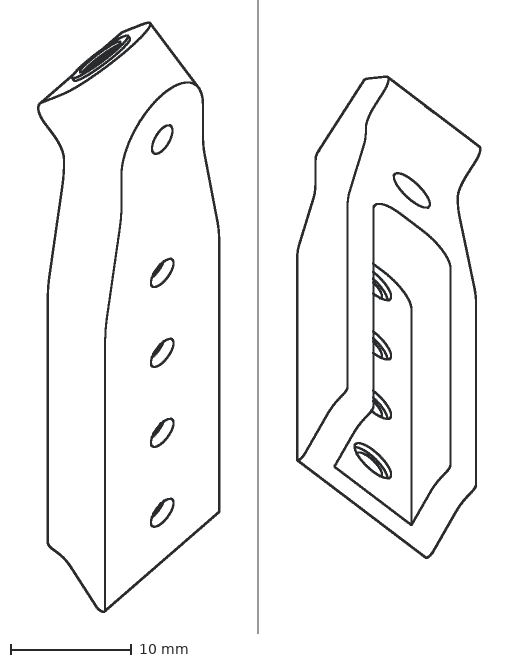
import cadquery as cq
import math

height = 67.5
body_thickness = 6.5
body_width = 14.0
head_width = 10.0
head_radius = head_width / 2

head_tilt = 36.0
apex_x = -3.85
head_face_length = 10.6
nose_radius = 1.75
neck_radius = 3.0

taper_bottom_z = 39.15
taper_top_z = 52.8
taper_blend_radius = 20.0

foot_step_z = 3.65
foot_tip_radius = 0.6
foot_hollow_radius = 2.0
foot_corner_radius = 0.5

pocket_width = 8.4
pocket_depth = 5.0
pocket_top_z = 43.65
pocket_corner_radius = 3.0
screw_count = 4
screw_pitch = 11.0
top_screw_z = 40.15
screw_diameter = 2.8
screw_recess_diameter = 4.0
screw_recess_depth = 0.5

blind_hole_z = 49.6
blind_hole_diameter = 3.9
blind_hole_depth = 5.0

ring_diameter = 5.8
ring_height = 0.3
ring_recess_diameter = 4.2
head_hole_diameter = 2.5

tilt = math.radians(head_tilt)
face_down = (-math.sin(tilt), -math.cos(tilt))
axis_in = (math.cos(tilt), -math.sin(tilt))


def along_head(down, inward):
    """XZ point measured from the head apex, down its face and into the part."""
    x = apex_x + down * face_down[0] + inward * axis_in[0]
    z = height + down * face_down[1] + inward * axis_in[1]
    return x, z


def front_plane(z):
    """Plane on the front body face, with its normal pointing into the body."""
    return cq.Plane(origin=(-body_thickness, 0, z), xDir=(0, 1, 0), normal=(1, 0, 0))


def round_edge(solid, x, y, z, radius):
    """Fillet the edge whose midpoint is at the given point."""
    return solid.edges(cq.selectors.NearestToPointSelector((x, y, z))).fillet(radius)


def make_side_profile():
    nose = along_head(head_face_length, 0)
    neck_inward = (-body_thickness - nose[0]) / axis_in[0]
    neck = along_head(head_face_length, neck_inward)
    top_back = along_head(0, -apex_x / axis_in[0])
    sharp_tip_z = -foot_tip_radius * math.sqrt(2)
    hollow_x = sharp_tip_z - foot_step_z
    corners = [
        (apex_x, height), top_back, (0, sharp_tip_z), (hollow_x, foot_step_z),
        (-body_thickness, foot_step_z), neck, nose,
    ]
    solid = cq.Workplane("XZ").polyline(corners).close().extrude(body_width / 2, both=True)
    solid = round_edge(solid, nose[0], 0, nose[1], nose_radius)
    solid = round_edge(solid, neck[0], 0, neck[1], neck_radius)
    solid = round_edge(solid, 0, 0, sharp_tip_z, foot_tip_radius)
    solid = round_edge(solid, hollow_x, 0, foot_step_z, foot_hollow_radius)
    return round_edge(solid, -body_thickness, 0, foot_step_z, foot_corner_radius)


def make_width_profile():
    """Outline seen along X: wide body, blended taper and narrow head."""
    half_body = body_width / 2
    half_head = head_width / 2
    margin = body_thickness
    outline = [
        (-half_body, -margin), (half_body, -margin), (half_body, taper_bottom_z),
        (half_head, taper_top_z), (half_head, height + margin),
        (-half_head, height + margin), (-half_head, taper_top_z), (-half_body, taper_bottom_z),
    ]
    solid = cq.Workplane("YZ").polyline(outline).close().extrude(2 * body_thickness, both=True)
    for side in (-1, 1):
        for y, z in ((half_body, taper_bottom_z), (half_head, taper_top_z)):
            solid = round_edge(solid, 0, side * y, z, taper_blend_radius)
    return solid


def head_plane():
    """Plane at the centre of the head face, with its normal pointing outward."""
    x, z = along_head(head_radius, 0)
    return cq.Plane(origin=(x, 0, z), xDir=(0, -1, 0), normal=(-axis_in[0], 0, -axis_in[1]))


def make_head_rounding():
    """Material outside the half cylinder at the top of the head."""
    depth = 2 * body_thickness
    upper = cq.Workplane(head_plane()).center(0, head_radius).rect(body_width, head_width)
    upper = upper.extrude(depth, both=True)
    cylinder = cq.Workplane(head_plane()).circle(head_radius).extrude(depth, both=True)
    return upper.cut(cylinder)


def make_pocket():
    pocket = cq.Workplane(front_plane(0)).moveTo(0, pocket_top_z / 2)
    pocket = pocket.rect(pocket_width, pocket_top_z).extrude(pocket_depth)
    return pocket.edges("|X and >Z").fillet(pocket_corner_radius)


def make_screw_holes():
    holes = cq.Workplane()
    for index in range(screw_count):
        plane = front_plane(top_screw_z - index * screw_pitch)
        through = cq.Workplane(plane).circle(screw_diameter / 2).extrude(body_thickness)
        recess = cq.Workplane(plane).circle(screw_recess_diameter / 2)
        recess = recess.extrude(pocket_depth + screw_recess_depth)
        holes = holes.add(through).add(recess)
    return holes.combine()


def make_blind_hole():
    return cq.Workplane(front_plane(blind_hole_z)).circle(blind_hole_diameter / 2).extrude(blind_hole_depth)


def make_head_ring():
    ring = cq.Workplane(head_plane()).circle(ring_diameter / 2).circle(ring_recess_diameter / 2)
    return ring.extrude(ring_height)


def make_head_hole():
    return cq.Workplane(head_plane()).circle(head_hole_diameter / 2).extrude(-2 * body_thickness)


result = make_side_profile().intersect(make_width_profile())
result = result.cut(make_head_rounding())
result = result.cut(make_pocket())
result = result.cut(make_screw_holes())
result = result.cut(make_blind_hole())
result = result.union(make_head_ring())
result = result.cut(make_head_hole())